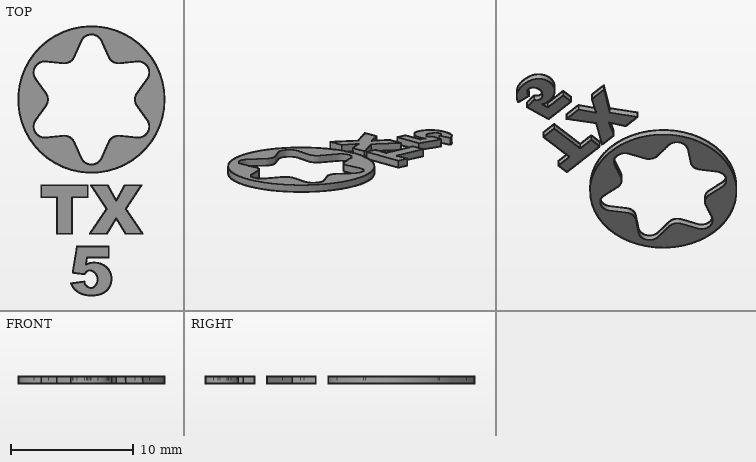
import cadquery as cq
import math

thickness = 0.6
ring_radius = 6.0
overall_length = 22.07

lobe_count = 6
lobe_tip_radius = 5.32
lobe_valley_radius = 3.55
tip_rounding = 0.9
valley_rounding = 0.9

letter_height = 4.0
letter_top = -7.02
letter_bottom = letter_top - letter_height

t_centre = -2.2
t_width = 3.85
t_bar_height = 1.0
t_stem_width = 1.25

x_centre = 2.03
x_top_half_width = 2.07
x_bottom_half_width = 2.18
x_top_notch_half_width = 0.68
x_bottom_notch_half_width = 0.77
x_waist_half_width = 0.8
x_waist_y = -8.95
x_top_notch_depth = 1.25
x_bottom_notch_depth = 1.25

five_top = -12.03
five_bottom = ring_radius - overall_length
five_bar_bottom = five_top - 0.93
five_bar_left = -1.2
five_bar_right = 1.43
five_bar_inner = -0.35
five_bowl_start = (-0.45, -13.5)
five_outer_bowl = [(0.35, -13.35), (1.25, -13.75), (1.65, -14.63), (1.28, -15.63), (-0.05, five_bottom),
                   (-1.05, -15.8), (-1.68, -15.05)]
five_tail_inner = (-0.57, -14.9)
five_inner_bowl = [(-0.38, -15.3), (0.0, -15.43), (0.5, -14.72), (0.0, -14.01), (-0.57, -14.32)]
five_stem_corner = (-1.55, -14.2)


def polar(radius, angle):
    return (radius * math.cos(angle), radius * math.sin(angle))


def lobed_opening():
    """Alternating tip and valley arcs joined by straight tangent flanks."""
    half_pitch = math.pi / lobe_count
    tip_centre = lobe_tip_radius - tip_rounding
    valley_centre = polar(lobe_valley_radius + valley_rounding, half_pitch)

    run = valley_centre[0] - tip_centre
    rise = valley_centre[1]
    normal = math.atan2(rise, run) - math.acos((tip_rounding + valley_rounding) / math.hypot(run, rise))
    tip_dx, tip_dy = polar(tip_rounding, normal)
    valley_dx, valley_dy = polar(valley_rounding, normal)
    tip_end = (tip_centre + tip_dx, tip_dy)
    valley_start = (valley_centre[0] - valley_dx, valley_centre[1] - valley_dy)

    tip_end_radius = math.hypot(*tip_end)
    tip_end_angle = math.atan2(tip_end[1], tip_end[0])
    valley_start_radius = math.hypot(*valley_start)
    valley_start_angle = math.atan2(valley_start[1], valley_start[0])

    first_axis = math.pi / 2
    outline = cq.Workplane("XY").moveTo(*polar(tip_end_radius, first_axis - tip_end_angle))
    for lobe in range(lobe_count):
        axis = first_axis + 2 * half_pitch * lobe
        valley_axis = axis + half_pitch
        next_axis = axis + 2 * half_pitch
        outline = outline.threePointArc(
            polar(lobe_tip_radius, axis), polar(tip_end_radius, axis + tip_end_angle)
        )
        outline = outline.lineTo(*polar(valley_start_radius, axis + valley_start_angle))
        outline = outline.threePointArc(
            polar(lobe_valley_radius, valley_axis),
            polar(valley_start_radius, next_axis - valley_start_angle),
        )
        if lobe < lobe_count - 1:
            outline = outline.lineTo(*polar(tip_end_radius, next_axis - tip_end_angle))
    return outline.close().extrude(thickness)


def make_ring():
    return cq.Workplane("XY").circle(ring_radius).extrude(thickness).cut(lobed_opening())


def make_letter_t():
    bar_left = t_centre - t_width / 2
    bar_right = t_centre + t_width / 2
    stem_left = t_centre - t_stem_width / 2
    stem_right = t_centre + t_stem_width / 2
    bar_bottom = letter_top - t_bar_height
    outline = [
        (bar_left, letter_top),
        (bar_right, letter_top),
        (bar_right, bar_bottom),
        (stem_right, bar_bottom),
        (stem_right, letter_bottom),
        (stem_left, letter_bottom),
        (stem_left, bar_bottom),
        (bar_left, bar_bottom),
    ]
    return cq.Workplane("XY").polyline(outline).close().extrude(thickness)


def make_letter_x():
    outline = [
        (x_centre - x_top_half_width, letter_top),
        (x_centre - x_top_notch_half_width, letter_top),
        (x_centre, letter_top - x_top_notch_depth),
        (x_centre + x_top_notch_half_width, letter_top),
        (x_centre + x_top_half_width, letter_top),
        (x_centre + x_waist_half_width, x_waist_y),
        (x_centre + x_bottom_half_width, letter_bottom),
        (x_centre + x_bottom_notch_half_width, letter_bottom),
        (x_centre, letter_bottom + x_bottom_notch_depth),
        (x_centre - x_bottom_notch_half_width, letter_bottom),
        (x_centre - x_bottom_half_width, letter_bottom),
        (x_centre - x_waist_half_width, x_waist_y),
    ]
    return cq.Workplane("XY").polyline(outline).close().extrude(thickness)


def make_digit_five():
    outline = (
        cq.Workplane("XY")
        .moveTo(five_bar_left, five_top)
        .lineTo(five_bar_right, five_top)
        .lineTo(five_bar_right, five_bar_bottom)
        .lineTo(five_bar_inner, five_bar_bottom)
        .lineTo(*five_bowl_start)
        .spline(five_outer_bowl, includeCurrent=True)
        .lineTo(*five_tail_inner)
        .spline(five_inner_bowl, includeCurrent=True)
        .lineTo(*five_stem_corner)
        .close()
    )
    return outline.extrude(thickness)


ring = make_ring()
letter_t = make_letter_t()
letter_x = make_letter_x()
digit_five = make_digit_five()

result = cq.Compound.makeCompound(
    [ring.val(), letter_t.val(), letter_x.val(), digit_five.val()]
)